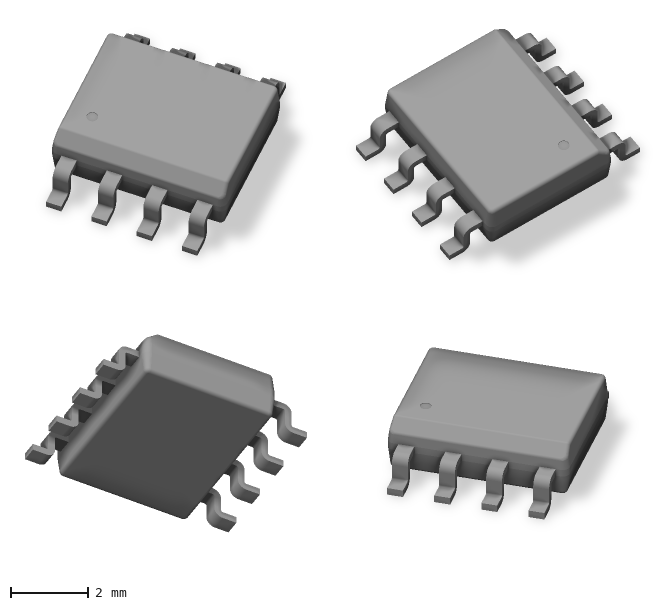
import cadquery as cq
import math

body_length = 4.9
body_width = 3.9
body_bottom = 0.1
body_top = 1.5
body_corner_radius = 0.2
draft_angle = 7.0
edge_radius = 0.1

bevel_top_inset = 0.41
bevel_drop = 0.305

dimple_x = -1.69
dimple_y = -0.9
dimple_diameter = 0.3
dimple_depth = 0.02

leads_per_side = 4
lead_pitch = 1.27
lead_width = 0.43
lead_thickness = 0.2
lead_span = 6.0
lead_shoulder = 2.55
lead_top = 0.9
lead_embed = 0.3
bend_inner_radius = 0.05
bend_outer_radius = bend_inner_radius + lead_thickness

band_top = lead_top
band_bottom = lead_top - lead_thickness


def body_outline(z):
    """Rounded rectangle of the parting band at height z."""
    outline = cq.Sketch().rect(body_length, body_width).vertices().fillet(body_corner_radius)
    return cq.Workplane("XY", origin=(0, 0, z)).placeSketch(outline)


def make_bevel_cutter():
    """Wedge that removes the top -Y edge along the whole length."""
    side_y = -body_width / 2
    edge_z = body_top - bevel_drop
    edge_y = side_y + (edge_z - band_top) * math.tan(math.radians(draft_angle))
    top_y = side_y + bevel_top_inset
    slope = bevel_drop / (top_y - edge_y)
    overrun = 0.2
    return (
        cq.Workplane("YZ")
        .moveTo(edge_y - overrun, edge_z - overrun * slope)
        .lineTo(top_y + overrun, body_top + overrun * slope)
        .lineTo(edge_y - overrun, body_top + overrun * slope)
        .close()
        .extrude(body_length, both=True)
    )


def make_body():
    """Drafted halves around a straight band, bevelled and rounded."""
    band = body_outline(band_bottom).extrude(lead_thickness)
    upper = body_outline(band_top).extrude(body_top - band_top, taper=draft_angle)
    lower = body_outline(band_bottom).extrude(body_bottom - band_bottom, taper=draft_angle)
    upper = upper.cut(make_bevel_cutter())

    bevel_middle = (0, -body_width / 2 + bevel_top_inset / 2, body_top - bevel_drop / 2)
    bevel_face = upper.faces(cq.selectors.NearestToPointSelector(bevel_middle))
    rounded_edges = upper.faces(">Z").add(bevel_face).edges()
    upper = rounded_edges.fillet(edge_radius)
    lower = lower.faces("<Z").edges().fillet(edge_radius)
    return band.union(upper).union(lower)


def make_lead(x):
    """One gull-wing lead on the +Y side, centred at x."""
    root_y = body_width / 2 - lead_embed
    toe_y = lead_span / 2
    inner_y = lead_shoulder - lead_thickness
    profile = (
        cq.Workplane("YZ", origin=(x - lead_width / 2, 0, 0))
        .moveTo(root_y, band_bottom)
        .lineTo(root_y, lead_top)
        .lineTo(lead_shoulder - bend_outer_radius, lead_top)
        .radiusArc((lead_shoulder, lead_top - bend_outer_radius), bend_outer_radius)
        .lineTo(lead_shoulder, bend_outer_radius)
        .radiusArc((lead_shoulder + bend_inner_radius, lead_thickness), -bend_inner_radius)
        .lineTo(toe_y, lead_thickness)
        .lineTo(toe_y, 0)
        .lineTo(inner_y + bend_outer_radius, 0)
        .radiusArc((inner_y, bend_outer_radius), bend_outer_radius)
        .lineTo(inner_y, band_bottom - bend_inner_radius)
        .radiusArc((inner_y - bend_inner_radius, band_bottom), -bend_inner_radius)
        .close()
    )
    return profile.extrude(lead_width)


def add_leads(part):
    """Join equally spaced leads on the +Y and -Y sides."""
    for index in range(leads_per_side):
        x = (index - (leads_per_side - 1) / 2) * lead_pitch
        lead = make_lead(x)
        part = part.union(lead).union(lead.mirror("XZ"))
    return part


def cut_dimple(part):
    """Shallow round pin-1 mark in the top face."""
    floor = cq.Workplane("XY", origin=(dimple_x, dimple_y, body_top - dimple_depth))
    return part.cut(floor.circle(dimple_diameter / 2).extrude(2 * dimple_depth))


result = cut_dimple(add_leads(make_body()))